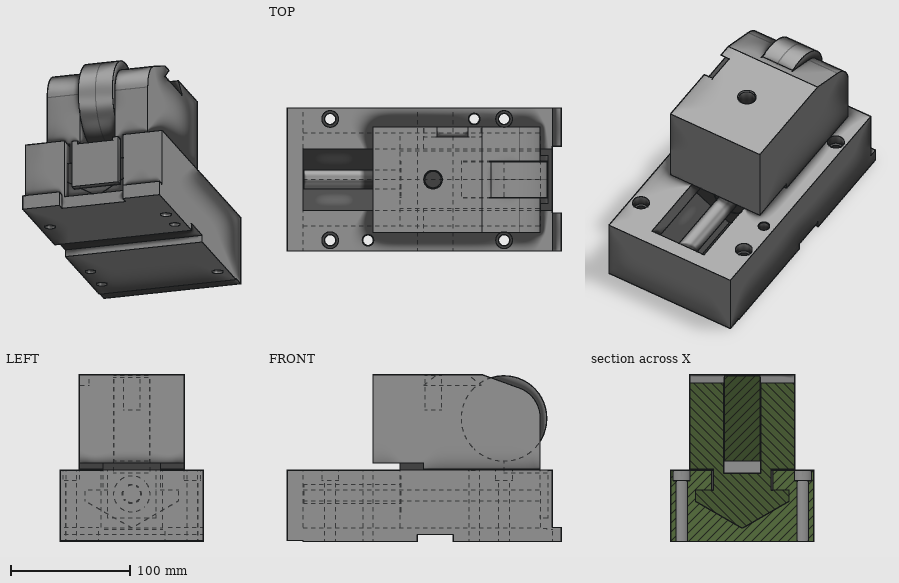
import cadquery as cq
import math


total_length = 230.0
total_height = 140.0

base_length = 222.5
base_width = 120.0
base_height = 60.0
end_wall = 13.3
end_wall_relief = 1.0
cross_slot_start = 109.2
cross_slot_width = 30.0
cross_slot_depth = 6.0
lug_height = 12.0
lug_gap = 55.7

bolt_x_places = (36.0, 182.0)
hole_row_y = 50.8
bolt_diameter = 9.2
bolt_head_diameter = 14.0
bolt_head_depth = 9.0
dowel_places = ((156.9, hole_row_y), (67.8, -hole_row_y))
dowel_diameter = 8.7
dowel_chamfer = 0.5

guide_end = 212.5
guide_width = 78.2
guide_apex_z = 11.5
guide_angle = 30.0
lip_thickness = 16.8
opening_width = 51.5
run_out_angle = 8.0

slide_front = 72.0
slide_back = 212.0
slide_width = 88.3
slide_gap = 0.7
shoulder_z = 65.8
shoulder_end = 114.3
neck_start = 94.5
neck_width = 48.3
slope_start = 163.5
slope_angle = 20.0
nose_radius = 26.0

notch_start = 125.5
notch_length = 26.2
notch_width = 8.3
notch_depth = 9.2
notch_flank_angle = 50.0

top_hole_x = 122.4
top_hole_diameter = 13.8
top_hole_depth = 30.0
top_hole_chamfer = 1.0

rod_z = 40.0
rod_radius = 8.0
rod_chamfer = 0.7
rod_recess_radius = 15.2
rod_recess_depth = 1.0

tail_end = 218.7
tail_width = 40.5

roller_radius = 35.9
roller_width = 30.0
roller_x = 182.0
roller_z = 103.3
roller_slot_width = 30.8
roller_slot_floor = 57.5

lip_z = base_height - lip_thickness
slide_bottom = base_height + slide_gap


def block(x0, x1, width, z0, z1):
    """Box between two X and two Z limits, centred across Y."""
    box = cq.Workplane("XY").box(x1 - x0, width, z1 - z0, centered=(False, True, False))
    return box.translate((x0, 0, z0))


def side_disc(x, z, radius, width):
    """Disc with its axis along Y, centred across Y."""
    return cq.Workplane("XZ", origin=(x, 0, z)).circle(radius).extrude(width / 2, both=True)


def x_cylinder(x0, x1, radius):
    """Cylinder along X on the axis of the push rod."""
    return cq.Workplane("YZ", origin=(x0, 0, rod_z)).circle(radius).extrude(x1 - x0)


def guide_bar(start):
    """V-bottomed bar that fills the guide channel below the lips, from `start` to the guide's end."""
    half = guide_width / 2
    edge_z = guide_apex_z + half * math.tan(math.radians(guide_angle))
    outline = [(0, guide_apex_z), (half, edge_z), (half, lip_z), (-half, lip_z), (-half, edge_z)]
    return cq.Workplane("YZ", origin=(start, 0, 0)).polyline(outline).close().extrude(guide_end - start)


def run_out_cut():
    """Opening from the end of the guide to the back face, with a floor that falls towards the back."""
    drop = (base_length - guide_end) * math.tan(math.radians(run_out_angle))
    outline = [
        (guide_end, guide_apex_z),
        (base_length, guide_apex_z - drop),
        (base_length, base_height),
        (guide_end, base_height),
    ]
    return cq.Workplane("XZ").polyline(outline).close().extrude(opening_width / 2, both=True)


def make_base():
    base = block(0, base_length, base_width, 0, base_height)

    lugs = block(base_length, total_length, base_width, 0, lug_height)
    lugs = lugs.cut(block(base_length, total_length, lug_gap, 0, lug_height))
    base = base.union(lugs)

    base = base.cut(block(0, end_wall, base_width, 0, end_wall_relief))
    cross_slot_end = cross_slot_start + cross_slot_width
    base = base.cut(block(cross_slot_start, cross_slot_end, base_width, 0, cross_slot_depth))

    base = base.cut(guide_bar(end_wall))
    base = base.cut(block(end_wall, guide_end, opening_width, lip_z, base_height))
    base = base.cut(run_out_cut())

    bolt_places = [(x, y) for x in bolt_x_places for y in (hole_row_y, -hole_row_y)]
    top = base.faces(">Z").workplane(origin=(0, 0, base_height))
    base = top.pushPoints(bolt_places).cboreHole(bolt_diameter, bolt_head_diameter, bolt_head_depth)
    top = base.faces(">Z").workplane(origin=(0, 0, base_height))
    dowel_mouth = dowel_diameter + 2 * dowel_chamfer
    return top.pushPoints(dowel_places).cskHole(dowel_diameter, dowel_mouth, 90)


def slide_head():
    """Head with a sloping top that rounds over into the back face."""
    slope = math.radians(slope_angle)
    nose_x = slide_back - nose_radius
    tangent_x = nose_x + nose_radius * math.sin(slope)
    tangent_z = total_height - (tangent_x - slope_start) * math.tan(slope)
    nose_z = tangent_z - nose_radius * math.cos(slope)
    middle = (math.pi / 2 - slope) / 2
    nose_middle = (nose_x + nose_radius * math.cos(middle), nose_z + nose_radius * math.sin(middle))
    outline = (
        cq.Workplane("XZ")
        .moveTo(slide_front, shoulder_z)
        .lineTo(slide_front, total_height)
        .lineTo(slope_start, total_height)
        .lineTo(tangent_x, tangent_z)
        .threePointArc(nose_middle, (slide_back, nose_z))
        .lineTo(slide_back, slide_bottom)
        .lineTo(shoulder_end, slide_bottom)
        .lineTo(shoulder_end, shoulder_z)
        .close()
    )
    return outline.extrude(slide_width / 2, both=True)


def notch_cut():
    """Dovetail notch that widens downwards, open at the top and on the +Y side."""
    spread = notch_depth * math.tan(math.radians(notch_flank_angle))
    notch_end = notch_start + notch_length
    floor_z = total_height - notch_depth
    outline = [
        (notch_start, total_height),
        (notch_end, total_height),
        (notch_end + spread, floor_z),
        (notch_start - spread, floor_z),
    ]
    side = cq.Workplane("XZ", origin=(0, slide_width / 2, 0))
    return side.polyline(outline).close().extrude(notch_width)


def make_slide():
    slide = slide_head()
    slide = slide.union(block(neck_start, slide_back, neck_width, lip_z, shoulder_z))
    slide = slide.union(guide_bar(neck_start))

    tail_bottom = rod_z - tail_width / 2
    slide = slide.union(block(slide_back, tail_end, tail_width, tail_bottom, tail_bottom + tail_width))

    recess_floor = neck_start + rod_recess_depth
    slide = slide.cut(x_cylinder(neck_start, recess_floor, rod_recess_radius))
    rod = x_cylinder(end_wall, recess_floor, rod_radius).faces("<X").chamfer(rod_chamfer)
    slide = slide.union(rod)

    slide = slide.cut(side_disc(roller_x, roller_z, roller_radius, roller_slot_width))
    slide = slide.cut(block(roller_x, tail_end, roller_slot_width, roller_slot_floor, total_height))

    slide = slide.cut(notch_cut())
    top = cq.Workplane("XY", origin=(top_hole_x, 0, total_height))
    hole = top.circle(top_hole_diameter / 2).extrude(-top_hole_depth)
    mouth = top.circle(top_hole_diameter / 2 + top_hole_chamfer).extrude(-top_hole_chamfer, taper=45)
    return slide.cut(hole).cut(mouth)


def make_roller():
    return side_disc(roller_x, roller_z, roller_radius, roller_width)


base = make_base()
slide = make_slide()
roller = make_roller()

result = cq.Compound.makeCompound([base.val(), slide.val(), roller.val()])